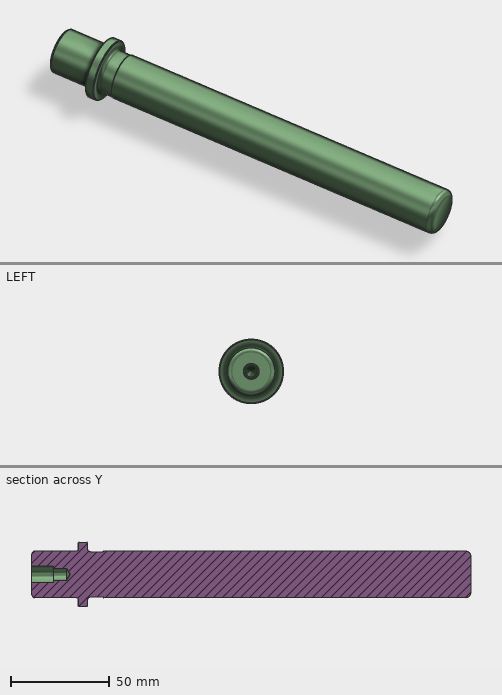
import cadquery as cq
import math

length = 224.0
body_radius = 24.0 / 2
flange_radius = 33.0 / 2

front_round_length = 1.3
front_round_drop = 2.0
front_round_radius = (front_round_length**2 + front_round_drop**2) / (2 * front_round_length)

rear_round = 2.7

flange_start = 23.7
flange_end = 28.7
flange_chamfer = 0.5
front_root_round = 1.0
rear_root_round = 1.5

neck_radius = 11.6
neck_end = 36.7
neck_shoulder = body_radius - neck_radius

bore_radius = 3.0
counterbore_radius = 4.0
counterbore_depth = 11.2
bore_depth = 18.0
drill_tip_angle = 118.0

quarter_mid = 1 - math.sqrt(0.5)


def turned_body():
    """Revolve the half profile of the pin about the X axis."""
    front_mid = front_root_round * quarter_mid
    rear_mid = rear_root_round * quarter_mid
    profile = (
        cq.Workplane("XY")
        .lineTo(0, body_radius - front_round_drop)
        .radiusArc((front_round_length, body_radius), front_round_radius)
        .lineTo(flange_start - front_root_round, body_radius)
        .threePointArc(
            (flange_start - front_mid, body_radius + front_mid),
            (flange_start, body_radius + front_root_round),
        )
        .lineTo(flange_start, flange_radius - flange_chamfer)
        .lineTo(flange_start + flange_chamfer, flange_radius)
        .lineTo(flange_end - flange_chamfer, flange_radius)
        .lineTo(flange_end, flange_radius - flange_chamfer)
        .lineTo(flange_end, neck_radius + rear_root_round)
        .threePointArc(
            (flange_end + rear_mid, neck_radius + rear_mid),
            (flange_end + rear_root_round, neck_radius),
        )
        .lineTo(neck_end - neck_shoulder, neck_radius)
        .lineTo(neck_end, body_radius)
        .lineTo(length - rear_round, body_radius)
        .radiusArc((length, body_radius - rear_round), rear_round)
        .lineTo(length, 0)
        .close()
    )
    return profile.revolve(360, (0, 0, 0), (1, 0, 0))


def front_bore():
    """Counterbored hole along the axis with a conical drill tip."""
    tip_length = bore_radius / math.tan(math.radians(drill_tip_angle / 2))
    profile = (
        cq.Workplane("XY")
        .lineTo(0, counterbore_radius)
        .lineTo(counterbore_depth, counterbore_radius)
        .lineTo(counterbore_depth, bore_radius)
        .lineTo(bore_depth, bore_radius)
        .lineTo(bore_depth + tip_length, 0)
        .close()
    )
    return profile.revolve(360, (0, 0, 0), (1, 0, 0))


result = turned_body().cut(front_bore())